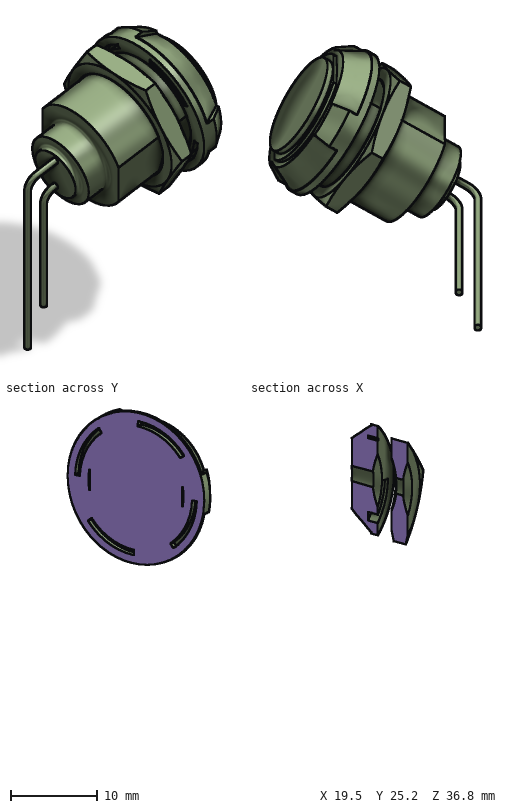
import cadquery as cq
import math


body_radius = 7.0
body_flat_width = 12.55
body_front_y = 4.4
body_rear_y = -11.05
tip_radius = 6.15
tip_front_y = 5.15

boss_radius = 4.67
boss_rear_y = -14.3
nose_radius = 3.3
nose_rear_y = -15.1
root_fillet = 0.48

bore_radius = 6.4
bore_mouth_radius = 7.1
bore_chamfer = bore_mouth_radius - bore_radius

flange_radius = 9.27
flange_front_y = 3.97
cone_front_radius = 7.7
cone_rear_radius = 9.15
cone_rear_y = 1.0
sector_front_radius = 8.1
sector_rear_y = 2.05
sector_count = 3
sector_width = 30.0
sector_center = 4.0
cut_clearance = 0.35

slot_inner_radius = 7.6
slot_outer_radius = 8.2
slot_depth = 1.47
slot_count = 4
slot_width = 50.0
slot_center = 63.0

nut_across_flats = 17.0
nut_corner_radius = nut_across_flats / math.sqrt(3)
nut_front_y = -2.05
nut_thickness = 2.5
nut_rear_y = nut_front_y - nut_thickness
nut_turn = 7.5
nut_corner_chamfer = 0.48

wire_diameter = 0.8
wire_bend_radius = 1.55
upper_wire_z = 2.5
upper_wire_drop_y = -19.68
upper_wire_end_z = -27.5
lower_wire_z = -2.05
lower_wire_drop_y = -17.05
lower_wire_end_z = -22.03


def turned(points, angle=360.0):
    """Revolve a closed (radius, y) outline about the Y axis."""
    return cq.Workplane("XY").polyline(points).close().revolve(angle, (0, 0), (0, 1))


def turned_sector(points, width, center):
    """Revolve an outline over a sector centred on the given angle."""
    sector = turned(points, width)
    return sector.rotate((0, 0, 0), (0, 1, 0), -center - width / 2)


def disc(radius, front_y, rear_y):
    """Solid cylinder along Y between two faces."""
    return turned([(0, front_y), (radius, front_y), (radius, rear_y), (0, rear_y)])


def make_body():
    """Cylinder with two side flats, and the plain tip in front of it."""
    length = body_front_y - body_rear_y
    flats = cq.Workplane("XY").box(body_flat_width, length, 2 * body_radius)
    flats = flats.translate((0, body_rear_y + length / 2, 0))
    body = disc(body_radius, body_front_y, body_rear_y).intersect(flats)
    return body.union(disc(tip_radius, tip_front_y, body_rear_y))


def make_rear_boss():
    """Stepped boss and nose with filleted roots."""
    return (
        cq.Workplane("XY")
        .moveTo(0, 0)
        .lineTo(boss_radius + root_fillet, 0)
        .lineTo(boss_radius + root_fillet, body_rear_y)
        .radiusArc((boss_radius, body_rear_y - root_fillet), -root_fillet)
        .lineTo(boss_radius, boss_rear_y)
        .lineTo(nose_radius + root_fillet, boss_rear_y)
        .radiusArc((nose_radius, boss_rear_y - root_fillet), -root_fillet)
        .lineTo(nose_radius, nose_rear_y)
        .lineTo(0, nose_rear_y)
        .close()
        .revolve(360, (0, 0), (0, 1))
    )


def make_flange():
    """Conical ring with raised sectors, chamfered bore and rear arc slots."""
    flange = turned([
        (bore_radius, flange_front_y),
        (sector_front_radius, flange_front_y),
        (flange_radius, sector_rear_y),
        (flange_radius, 0),
        (bore_mouth_radius, 0),
        (bore_radius, bore_chamfer),
    ])
    recess_outline = [
        (cone_front_radius, flange_front_y),
        (cone_rear_radius, cone_rear_y),
        (flange_radius + cut_clearance, cone_rear_y),
        (flange_radius + cut_clearance, flange_front_y),
    ]
    sector_pitch = 360 / sector_count
    for index in range(sector_count):
        center = sector_center + (index + 0.5) * sector_pitch
        flange = flange.cut(turned_sector(recess_outline, sector_pitch - sector_width, center))
    slot_outline = [
        (slot_inner_radius, 0),
        (slot_outer_radius, 0),
        (slot_outer_radius, slot_depth),
        (slot_inner_radius, slot_depth),
    ]
    for index in range(slot_count):
        center = slot_center + index * 360 / slot_count
        flange = flange.cut(turned_sector(slot_outline, slot_width, center))
    return flange


def make_nut():
    """Hexagonal nut with chamfered corners and a countersunk bore."""
    hexagon = (
        cq.Workplane("XZ", origin=(0, nut_front_y, 0))
        .polygon(6, 2 * nut_corner_radius)
        .extrude(nut_thickness)
        .rotate((0, 0, 0), (0, 1, 0), -nut_turn)
    )
    turned_blank = turned([
        (bore_radius, nut_front_y - bore_chamfer),
        (bore_mouth_radius, nut_front_y),
        (nut_across_flats / 2, nut_front_y),
        (nut_corner_radius, nut_front_y - nut_corner_chamfer),
        (nut_corner_radius, nut_rear_y + nut_corner_chamfer),
        (nut_across_flats / 2, nut_rear_y),
        (bore_mouth_radius, nut_rear_y),
        (bore_radius, nut_rear_y + bore_chamfer),
    ])
    return hexagon.intersect(turned_blank)


def make_wire(start_z, drop_y, end_z):
    """Round wire that leaves the nose along -Y and bends down to -Z."""
    bend_start_y = drop_y + wire_bend_radius
    path = (
        cq.Workplane("YZ")
        .moveTo(boss_rear_y, start_z)
        .lineTo(bend_start_y, start_z)
        .radiusArc((drop_y, start_z - wire_bend_radius), -wire_bend_radius)
        .lineTo(drop_y, end_z)
    )
    section = cq.Workplane("XZ", origin=(0, boss_rear_y, start_z)).circle(wire_diameter / 2)
    return section.sweep(path)


upper_wire = make_wire(upper_wire_z, upper_wire_drop_y, upper_wire_end_z)
lower_wire = make_wire(lower_wire_z, lower_wire_drop_y, lower_wire_end_z)

result = make_body()
for piece in (make_rear_boss(), make_flange(), make_nut(), upper_wire, lower_wire):
    result = result.union(piece)